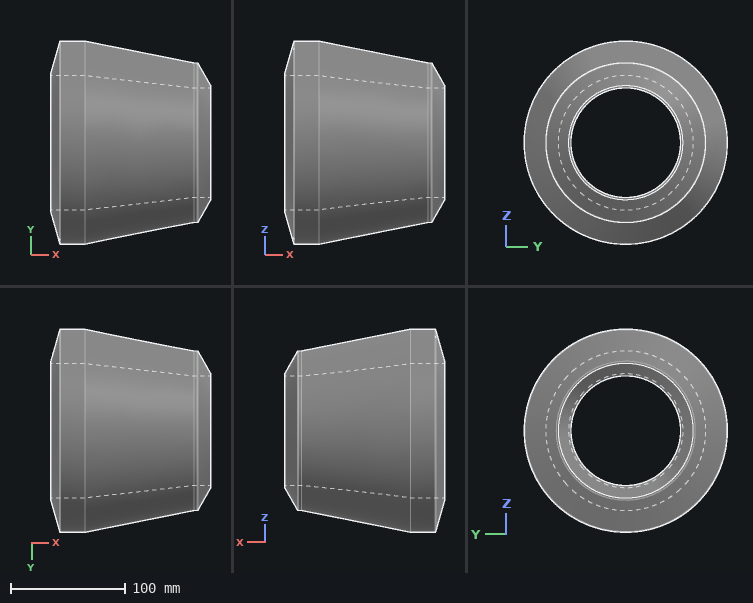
import cadquery as cq

length = 140.0
rim_diameter = 177.8
nose_diameter = 139.8

rim_bevel_length = 8.0
rim_end = 30.0
taper_end = 125.2
nose_end = 128.5

corner_radius = 0.9

large_face_diameter = 121.6
small_face_diameter = 100.0
large_bore_diameter = 117.9
small_bore_diameter = 95.7
large_bore_end = 27.7
small_bore_start = taper_end

section = [
    (0, large_bore_diameter / 2),
    (0, large_face_diameter / 2),
    (rim_bevel_length, rim_diameter / 2),
    (rim_end, rim_diameter / 2),
    (taper_end, nose_diameter / 2),
    (nose_end, nose_diameter / 2),
    (length, small_face_diameter / 2),
    (length, small_bore_diameter / 2),
    (small_bore_start, small_bore_diameter / 2),
    (large_bore_end, large_bore_diameter / 2),
]

body = cq.Workplane("XY").polyline(section).close().revolve(360, (0, 0, 0), (1, 0, 0))


def edge_at(station, diameter):
    """Select the circular edge of the given diameter at a station along the axis."""
    margin = 0.2
    reach = diameter / 2 + margin
    return cq.selectors.BoxSelector(
        (station - margin, -reach, -reach), (station + margin, reach, reach), boundingbox=True
    )


body = body.edges(edge_at(rim_bevel_length, rim_diameter)).fillet(corner_radius)
body = body.edges(edge_at(nose_end, nose_diameter)).fillet(corner_radius)

result = body.translate((-length / 2, 0, 0))